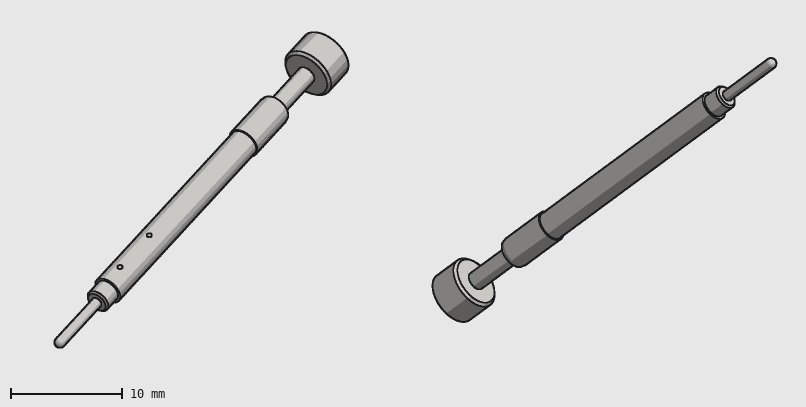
import cadquery as cq

total_length = 43.3

head_end = 3.07
neck_end = 8.1
collar_end = 13.2
barrel_end = 35.1
sleeve_end = 36.85

head_diameter = 5.0
neck_diameter = 1.75
collar_diameter = 3.0
barrel_diameter = 2.73
sleeve_diameter = 2.25
pin_diameter = 1.0

head_chamfer = 0.25
collar_taper_length = 0.4
collar_taper_depth = 0.1
sleeve_chamfer = 0.17

dimple_diameter = 0.48
dimple_distances = (28.4, 33.12)


def cylinder(start, end, diameter):
    """Solid cylinder along Y between two distances from the rear face."""
    plane = cq.Workplane("XZ", origin=(0, -start, 0))
    return plane.circle(diameter / 2).extrude(end - start)


def make_head():
    head = cylinder(0, head_end, head_diameter)
    return head.faces("<Y").chamfer(head_chamfer)


def make_collar():
    collar = cylinder(neck_end, collar_end, collar_diameter)
    return collar.faces(">Y").edges().chamfer(collar_taper_length, collar_taper_depth)


def make_sleeve():
    sleeve = cylinder(barrel_end, sleeve_end, sleeve_diameter)
    return sleeve.faces("<Y").chamfer(sleeve_chamfer)


def make_pin():
    """Contact pin ending in a hemisphere."""
    tip_radius = pin_diameter / 2
    dome_start = total_length - tip_radius
    shaft = cylinder(sleeve_end, dome_start, pin_diameter)
    dome = cq.Workplane("XY").sphere(tip_radius).translate((0, -dome_start, 0))
    return shaft.union(dome)


def make_dimple(distance):
    """Ball-shaped cutter whose middle lies on the top line of the barrel."""
    return cq.Workplane("XY").sphere(dimple_diameter / 2).translate((0, -distance, barrel_diameter / 2))


neck = cylinder(head_end, neck_end, neck_diameter)
barrel = cylinder(collar_end, barrel_end, barrel_diameter)

result = make_head()
for section in (neck, make_collar(), barrel, make_sleeve(), make_pin()):
    result = result.union(section)

for dimple_distance in dimple_distances:
    result = result.cut(make_dimple(dimple_distance))